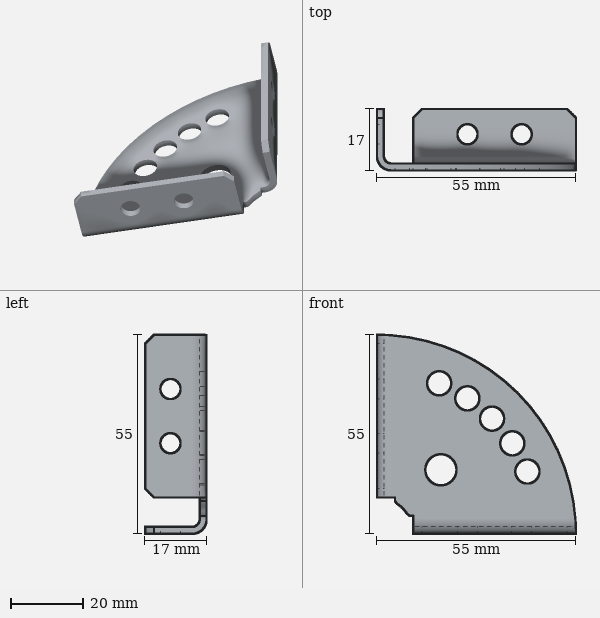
import cadquery as cq
import math

radius = 55.0
depth = 17.0
thickness = 2.0
bend_radius = 4.0
inner_bend_radius = bend_radius - thickness

flange_start = 10.0
relief_offset = flange_start / 2
relief_step = 1.0
relief_wave_near = 6.15
relief_hollow = 0.12
relief_bulge = 0.065
flange_chamfer = 2.5

flange_hole_diameter = 5.5
flange_hole_height = 10.0
flange_hole_positions = (25.0, 40.0)
pivot_diameter = 8.5
pivot_distance = 25.0
index_diameter = 6.6
index_radius = 45.0
index_count = 5
index_pitch = 11.25
diagonal_angle = 45.0


def front_plane():
    """XZ sketch plane whose extrusions run toward +Y."""
    return cq.Workplane(cq.Plane(origin=(0, 0, 0), xDir=(1, 0, 0), normal=(0, -1, 0)))


def polar_point(distance, angle):
    angle = math.radians(angle)
    return (distance * math.cos(angle), distance * math.sin(angle))


def make_web():
    """Flat plate with the stepped, gently waved relief at its corner."""
    relief_end = flange_start - relief_step
    wave_far = relief_offset + relief_end - relief_wave_near
    return (
        front_plane()
        .moveTo(bend_radius, radius)
        .lineTo(bend_radius, flange_start)
        .lineTo(relief_offset, flange_start)
        .lineTo(relief_offset, relief_end)
        .sagittaArc((relief_wave_near, wave_far), -relief_bulge)
        .sagittaArc((wave_far, relief_wave_near), relief_hollow)
        .sagittaArc((relief_end, relief_offset), -relief_bulge)
        .lineTo(flange_start, relief_offset)
        .lineTo(flange_start, bend_radius)
        .lineTo(radius, bend_radius)
        .lineTo(radius, radius)
        .close()
        .extrude(-thickness)
    )


def make_side_flange():
    """Upright flange on the -X side, including its bend and two holes."""
    bend_diagonal = math.sqrt(0.5)
    outer_mid = bend_radius * (1 - bend_diagonal)
    inner_mid = bend_radius - inner_bend_radius * bend_diagonal
    flange = (
        cq.Workplane("XY")
        .workplane(offset=flange_start)
        .moveTo(bend_radius, 0)
        .threePointArc((outer_mid, outer_mid), (0, bend_radius))
        .lineTo(0, depth)
        .lineTo(thickness, depth)
        .lineTo(thickness, bend_radius)
        .threePointArc((inner_mid, inner_mid), (bend_radius, thickness))
        .close()
        .extrude(radius - flange_start)
        .edges("|X and >Y")
        .chamfer(flange_chamfer)
    )
    holes = (
        cq.Workplane("YZ")
        .pushPoints([(flange_hole_height, z) for z in flange_hole_positions])
        .circle(flange_hole_diameter / 2)
        .extrude(thickness)
    )
    return flange.cut(holes)


def make_web_holes():
    """Pivot hole and the arc of index holes, symmetric about the diagonal."""
    first_angle = diagonal_angle - index_pitch * (index_count - 1) / 2
    index_points = [
        polar_point(index_radius, first_angle + i * index_pitch) for i in range(index_count)
    ]
    index_holes = (
        front_plane().pushPoints(index_points).circle(index_diameter / 2).extrude(-thickness)
    )
    pivot_hole = (
        front_plane()
        .center(*polar_point(pivot_distance, diagonal_angle))
        .circle(pivot_diameter / 2)
        .extrude(-thickness)
    )
    return index_holes.union(pivot_hole)


side_flange = make_side_flange()
bottom_flange = side_flange.mirror(cq.Vector(1, 0, -1))
bracket = make_web().union(side_flange).union(bottom_flange)

quadrant = front_plane().circle(radius).extrude(-depth)
result = bracket.intersect(quadrant).cut(make_web_holes())